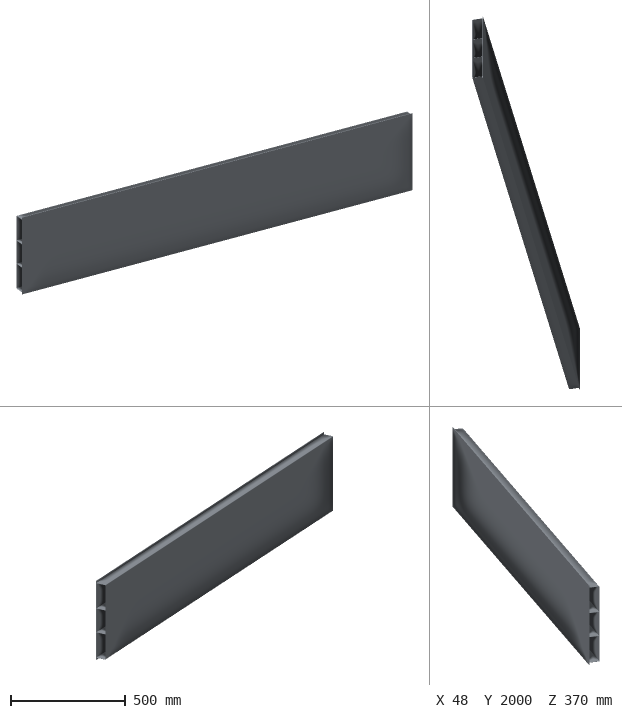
import cadquery as cq

length = 2000.0
total_width = 48.0

plate_height = 370.0
plate_thickness = 2.0

channel_height = 350.0
sheet_thickness = 1.0
outer_bend_radius = 3.0
inner_bend_radius = outer_bend_radius - sheet_thickness

web_thickness = sheet_thickness
web_spacing = 112.0

channel_front_x = -total_width / 2
channel_inside_x = channel_front_x + sheet_thickness
plate_face_x = total_width / 2 - plate_thickness
plate_back_x = total_width / 2


def make_bar(x_start, x_end, height, center_z=0.0):
    """Full-length rectangular bar between two X positions, centred on Y."""
    bar = cq.Workplane("XY").box(x_end - x_start, length, height)
    return bar.translate(((x_start + x_end) / 2, 0, center_z))


def make_plate():
    """Flat plate that stands proud of the channel above and below."""
    return make_bar(plate_face_x, plate_back_x, plate_height)


def make_channel():
    """C-shaped sheet whose two bends run along the -X corners."""
    outside = make_bar(channel_front_x, plate_face_x, channel_height)
    outside = outside.edges("|Y and <X").fillet(outer_bend_radius)
    inside = make_bar(channel_inside_x, plate_face_x, channel_height - 2 * sheet_thickness)
    inside = inside.edges("|Y and <X").fillet(inner_bend_radius)
    return outside.cut(inside)


def make_web(center_z):
    """Flat strip that spans from the channel to the plate."""
    return make_bar(channel_inside_x, plate_face_x, web_thickness, center_z)


plate = make_plate()
channel = make_channel()
webs = []
for side in (-1, 1):
    webs.append(make_web(side * web_spacing / 2))

result = cq.Compound.makeCompound([plate.val(), channel.val(), *[web.val() for web in webs]])